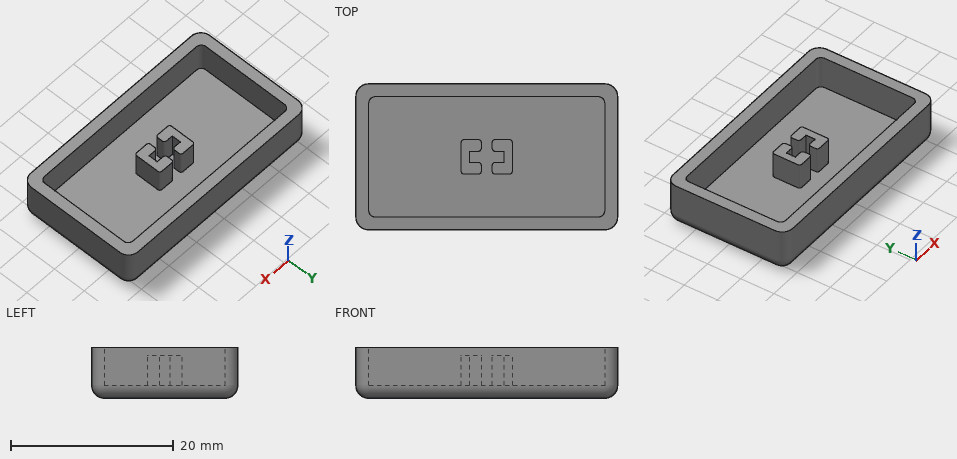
import cadquery as cq

LENGTH = 32.34
WIDTH = 18.05
HEIGHT = 6.3
WALL = 1.6
FLOOR = WALL
OUTER_RADIUS = WALL
CAVITY_RADIUS = WALL / 2

STEM_LENGTH = 6.3
STEM_WIDTH = 4.25
STEM_HEIGHT = 3.7
STEM_CORNER_RADIUS = 0.35
SOCKET_LENGTH = 4.2
SOCKET_SLOT = 1.35
MOUTH_RADIUS = 0.4
STEM_ROOT = FLOOR / 2


def make_tray():
    body = (
        cq.Workplane("XY")
        .rect(LENGTH, WIDTH)
        .extrude(HEIGHT)
        .edges("|Z")
        .fillet(OUTER_RADIUS)
        .faces("<Z")
        .edges()
        .fillet(OUTER_RADIUS)
    )
    cavity = (
        cq.Workplane("XY", origin=(0, 0, FLOOR))
        .rect(LENGTH - 2 * WALL, WIDTH - 2 * WALL)
        .extrude(HEIGHT - FLOOR)
        .edges("|Z")
        .fillet(CAVITY_RADIUS)
    )
    return body.cut(cavity)


def make_post():
    """Post on the +X side of the socket, its open side facing the YZ plane."""
    inner_x = SOCKET_SLOT / 2
    post_length = STEM_LENGTH / 2 - inner_x
    slot_depth = SOCKET_LENGTH / 2 - inner_x
    post_height = STEM_HEIGHT + STEM_ROOT
    base = cq.Workplane("XY", origin=(inner_x, 0, FLOOR - STEM_ROOT))

    block = (
        base.center(post_length / 2, 0)
        .rect(post_length, STEM_WIDTH)
        .extrude(post_height)
        .edges("|Z")
        .fillet(STEM_CORNER_RADIUS)
    )
    slot = base.center(slot_depth / 2, 0).rect(slot_depth, SOCKET_SLOT).extrude(post_height)

    mouth = cq.selectors.BoxSelector(
        (inner_x - MOUTH_RADIUS, -SOCKET_SLOT / 2 - MOUTH_RADIUS, 0),
        (inner_x + MOUTH_RADIUS, SOCKET_SLOT / 2 + MOUTH_RADIUS, HEIGHT),
    )
    return block.cut(slot).edges("|Z").edges(mouth).fillet(MOUTH_RADIUS)


right_post = make_post()
left_post = right_post.mirror("YZ")
result = make_tray().union(right_post).union(left_post)